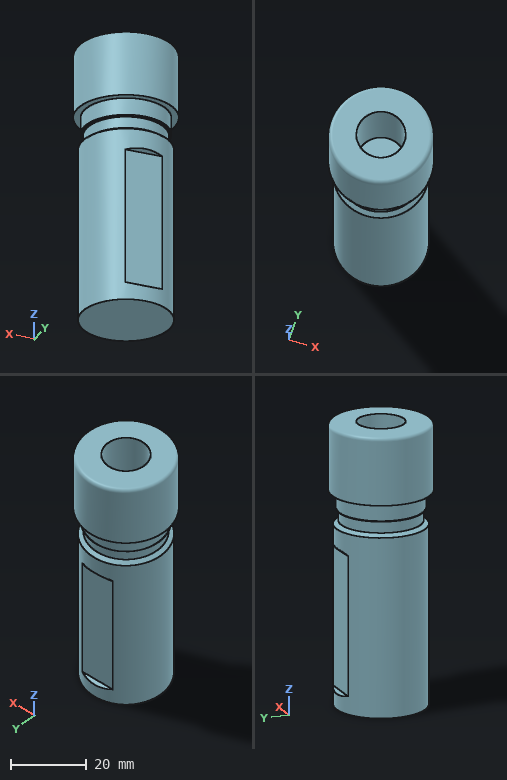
import cadquery as cq
import math

total_height = 78.5

head_diameter = 28.0
head_height = 19.0
head_fillet = 1.2
bore_diameter = 13.0
bore_depth = head_height

collar_diameter = 24.0
collar_height = 5.2
collar_chamfer = 0.3
neck_diameter = 22.7
neck_height = 3.2

shank_diameter = 25.4
shoulder_height = 0.95

flat_depth = 1.2
flat_bottom = 4.4
flat_top = 44.75
flat_end_angle = 30.0

head_bottom = total_height - head_height
collar_bottom = head_bottom - collar_height
neck_bottom = collar_bottom - neck_height
shank_top = neck_bottom - shoulder_height


def cylinder(diameter, bottom, top):
    return cq.Workplane("XY").workplane(offset=bottom).circle(diameter / 2).extrude(top - bottom)


def make_head():
    return cylinder(head_diameter, head_bottom, total_height).faces(">Z").edges().fillet(head_fillet)


def make_collar():
    return cylinder(collar_diameter, collar_bottom, head_bottom).faces("<Z").edges().chamfer(collar_chamfer)


def make_shank():
    shank_radius = shank_diameter / 2
    neck_radius = neck_diameter / 2
    half_profile = (
        cq.Workplane("XZ")
        .moveTo(0, 0)
        .lineTo(shank_radius, 0)
        .lineTo(shank_radius, shank_top)
        .lineTo(neck_radius, neck_bottom)
        .lineTo(neck_radius, collar_bottom)
        .lineTo(0, collar_bottom)
        .close()
    )
    return half_profile.revolve(360, (0, 0), (0, 1))


def make_flat_cutter():
    outer_y = shank_diameter / 2
    floor_y = outer_y - flat_depth
    end_rise = flat_depth * math.tan(math.radians(flat_end_angle))
    profile = [
        (outer_y, flat_bottom),
        (floor_y, flat_bottom + end_rise),
        (floor_y, flat_top - end_rise),
        (outer_y, flat_top),
    ]
    return cq.Workplane("YZ").polyline(profile).close().extrude(shank_diameter / 2, both=True)


bore = cylinder(bore_diameter, total_height - bore_depth, total_height)
body = make_shank().union(make_collar()).union(make_head())
result = body.cut(bore).cut(make_flat_cutter())